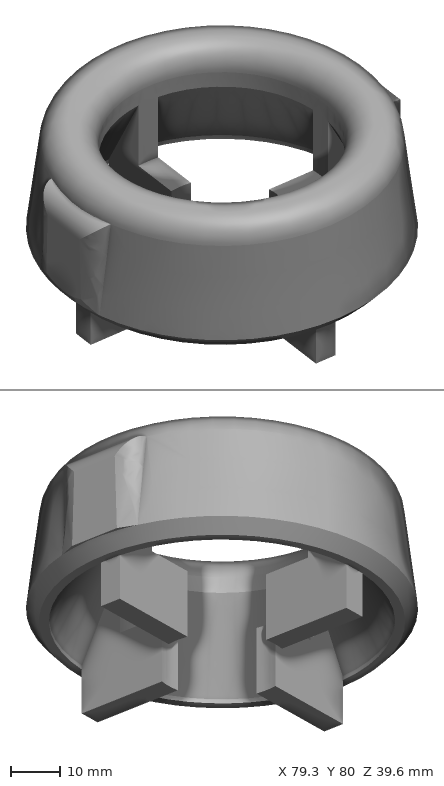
import cadquery as cq
import math

total_height = 39.6
ring_bottom = 10.0
widest_height = 13.0
wall_top = 34.4
bore_bottom = 30.0
lip_top = 11.0

bore_radius = 50.0 / 2
bead_radius = 6.0
wide_radius = 79.3 / 2
base_radius = 37.0

foot_width = 5.0
foot_inner_radius = 14.0
foot_outer_radius = 70.0 / 2
ledge_height = 15.0
foot_count = 4

opening_radius = foot_outer_radius

pad_reach = 40.0
pad_half_width = 10.0
face_half_width_top = 5.2
face_half_width_bottom = 5.9
face_top = 29.6
face_bottom = 15.4
pad_root = 34.4

bead_center_radius = bore_radius + bead_radius
bead_center_height = total_height - bead_radius
wall_top_radius = bead_center_radius + math.sqrt(
    bead_radius**2 - (wall_top - bead_center_height) ** 2
)


def revolve_profile(profile):
    """Turn a closed radius-height profile about the Z axis."""
    return profile.close().revolve(360, (0, 0, 0), (0, 1, 0))


def make_ring():
    """Ring with a sloped wall, a chamfered base and a rounded rim."""
    profile = (
        cq.Workplane("XZ")
        .moveTo(base_radius, ring_bottom)
        .lineTo(wide_radius, widest_height)
        .lineTo(wall_top_radius, wall_top)
        .threePointArc(
            (bead_center_radius, total_height),
            (bore_radius, bead_center_height),
        )
        .lineTo(bore_radius, ring_bottom)
    )
    return revolve_profile(profile)


def make_foot():
    """Foot along +X with a round inner end and a flat outer end."""
    foot = cq.Workplane("XY").box(
        foot_outer_radius, foot_width, ledge_height, centered=(False, True, False)
    )
    return foot.cut(cq.Workplane("XY").circle(foot_inner_radius).extrude(ledge_height))


def spread_around(solid):
    """List copies of a solid at equal angles about the Z axis."""
    step = 360 / foot_count
    return [solid.rotate((0, 0, 0), (0, 0, 1), index * step) for index in range(foot_count)]


def make_cavity():
    """Conical hollow below the bore, interrupted by a rib above each foot."""
    cavity = revolve_profile(
        cq.Workplane("XZ")
        .moveTo(0, ring_bottom)
        .lineTo(opening_radius, ring_bottom)
        .lineTo(opening_radius, lip_top)
        .lineTo(bore_radius, bore_bottom)
        .lineTo(0, bore_bottom)
    )
    rib_space = cq.Workplane("XY").box(
        foot_outer_radius + foot_width, foot_width, total_height, centered=(False, True, False)
    )
    for rib in spread_around(rib_space):
        cavity = cavity.cut(rib)
    return cavity


def chord_depth(radius, half_width):
    """Distance from the axis to a chord of the given half width."""
    return math.sqrt(radius**2 - half_width**2)


def lower_section():
    """Pad outline at its lower edge, with straight shoulders."""
    side_depth = chord_depth(wide_radius, pad_half_width)
    return (
        cq.Workplane("XY", origin=(0, 0, widest_height))
        .moveTo(-pad_half_width, pad_root)
        .lineTo(pad_half_width, pad_root)
        .lineTo(pad_half_width, side_depth)
        .lineTo(face_half_width_bottom, pad_reach)
        .lineTo(-face_half_width_bottom, pad_reach)
        .lineTo(-pad_half_width, side_depth)
        .close()
    )


def shoulder_middle(side_depth, side):
    """Middle of the arc that leaves the flat face tangentially and ends at the wall."""
    run = pad_half_width - face_half_width_top
    rise = pad_reach - side_depth
    radius = (run**2 + rise**2) / (2 * rise)
    half_angle = math.atan2(rise, run)
    return (
        side * (face_half_width_top + radius * math.sin(half_angle)),
        pad_reach - radius * (1 - math.cos(half_angle)),
    )


def add_upper_section(lower):
    """Add the pad outline at its top, with shoulders rounded into the flat face."""
    side_depth = chord_depth(wall_top_radius, pad_half_width)
    return (
        lower.workplane(offset=wall_top - widest_height)
        .moveTo(-pad_half_width, pad_root)
        .lineTo(pad_half_width, pad_root)
        .lineTo(pad_half_width, side_depth)
        .threePointArc(shoulder_middle(side_depth, 1), (face_half_width_top, pad_reach))
        .lineTo(-face_half_width_top, pad_reach)
        .threePointArc(shoulder_middle(side_depth, -1), (-pad_half_width, side_depth))
        .close()
    )


def make_pad():
    """Build the pad on +Y: tapered shoulders and a rounded top."""
    body = add_upper_section(lower_section()).loft(ruled=True)

    drop = wall_top - face_top
    top_round = (
        cq.Workplane("YZ")
        .moveTo(0, widest_height)
        .lineTo(pad_reach, widest_height)
        .lineTo(pad_reach, face_top)
        .threePointArc(
            (pad_reach - drop * (1 - math.sqrt(0.5)), face_top + drop * math.sqrt(0.5)),
            (pad_reach - drop, wall_top),
        )
        .lineTo(0, wall_top)
        .close()
        .extrude(pad_half_width, both=True)
    )

    return body.intersect(top_round)


def make_lower_edge():
    """Solid that trims the lower edge of a pad to a flaring cone."""
    corner_radius = math.hypot(pad_reach, face_half_width_bottom)
    return revolve_profile(
        cq.Workplane("XZ")
        .moveTo(0, widest_height)
        .lineTo(wide_radius, widest_height)
        .lineTo(corner_radius, face_bottom)
        .lineTo(2 * pad_reach, face_bottom)
        .lineTo(2 * pad_reach, wall_top)
        .lineTo(0, wall_top)
    )


result = make_ring().cut(make_cavity())
for foot in spread_around(make_foot()):
    result = result.union(foot)

pad = make_pad()
trimmed_pad = pad.mirror("XZ").intersect(make_lower_edge())
result = result.union(pad).union(trimmed_pad)